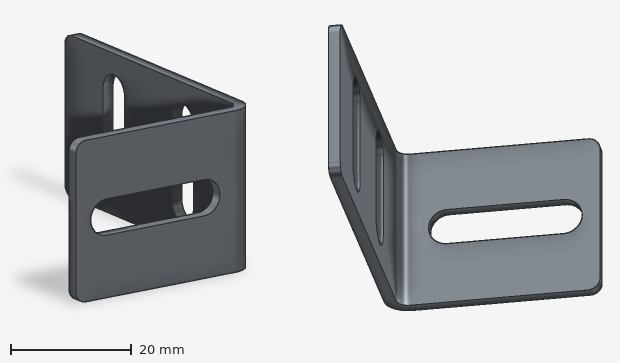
import cadquery as cq

length = 52.9
depth = 36.0
height = 28.0

thickness = 2.0
bend_inner_radius = 2.0
bend_outer_radius = bend_inner_radius + thickness
corner_radius = 2.0

slot_width = 6.3
long_leg_slot_length = 20.65
long_leg_first_slot = 14.4
long_leg_slot_spacing = 20.15
short_leg_slot_length = 25.9
short_leg_slot_center = 16.0


def bent_sheet():
    """L-shaped sheet with its outer bend corner at (length, depth)."""
    sheet = (
        cq.Workplane("XY")
        .moveTo(0, depth)
        .lineTo(length, depth)
        .lineTo(length, 0)
        .lineTo(length - thickness, 0)
        .lineTo(length - thickness, depth - thickness)
        .lineTo(0, depth - thickness)
        .close()
        .extrude(height)
    )
    sheet = sheet.edges("|Z").edges(">(1, 1, 0)").fillet(bend_outer_radius)
    inner_corner = cq.selectors.NearestToPointSelector(
        (length - thickness, depth - thickness, height / 2)
    )
    return sheet.edges("|Z").edges(inner_corner).fillet(bend_inner_radius)


def round_free_corners(sheet):
    """Round the top and bottom corners at the free end of both legs."""
    sheet = sheet.faces("<X").edges("|Y").fillet(corner_radius)
    return sheet.faces("<Y").edges("|X").fillet(corner_radius)


def long_leg_slots():
    """Two upright slot cutters passing through the long leg."""
    slot_centers = [
        (long_leg_first_slot + i * long_leg_slot_spacing, height / 2) for i in range(2)
    ]
    return (
        cq.Workplane("XZ", origin=(0, depth, 0))
        .pushPoints(slot_centers)
        .slot2D(long_leg_slot_length, slot_width, 90)
        .extrude(thickness)
    )


def short_leg_slot():
    """Horizontal slot cutter passing through the short leg."""
    return (
        cq.Workplane("YZ", origin=(length - thickness, 0, 0))
        .center(short_leg_slot_center, height / 2)
        .slot2D(short_leg_slot_length, slot_width)
        .extrude(thickness)
    )


bracket = round_free_corners(bent_sheet())
result = bracket.cut(long_leg_slots()).cut(short_leg_slot())